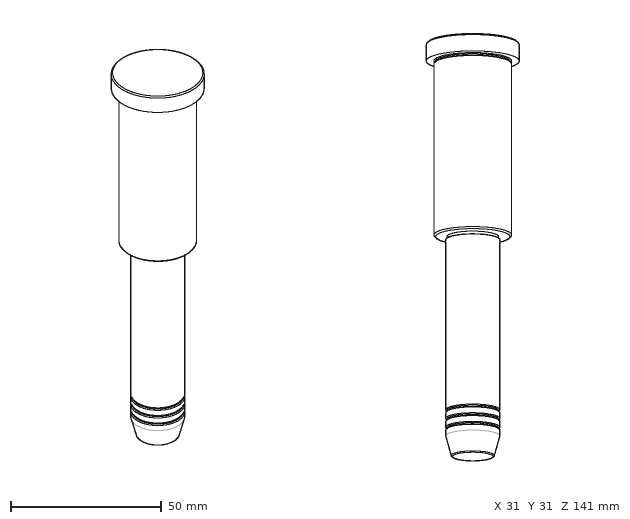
import cadquery as cq

total_length = 141.0
head_diameter = 31.0
head_height = 6.0
body_diameter = 26.0
body_bottom = 75.0
shank_diameter = 18.0

head_chamfer = 0.5
body_chamfer = 0.5
undercut_depth = 0.4
undercut_height = 1.0

groove_floor = 0.4

taper_height = 7.0
tip_diameter = 14.2
tip_chamfer = 0.35

groove_count = 3
groove_width = 1.0
groove_depth = 0.4
groove_pitch = 3.0
first_groove_bottom = 9.0

head_bottom = total_length - head_height


def cylinder(diameter, bottom, top):
    """Solid cylinder on the Z axis between two heights."""
    return cq.Workplane("XY").workplane(offset=bottom).circle(diameter / 2).extrude(top - bottom)


def ring_cut(diameter, bottom, width, depth):
    """Ring that cuts a square groove into a cylinder of the given diameter."""
    outer = cylinder(diameter, bottom, bottom + width)
    core = cylinder(diameter - 2 * depth, bottom, bottom + width)
    return outer.cut(core)


def tapered_ring_cut(diameter, bottom, width, depth):
    """Ring that cuts a sloped-wall groove into a cylinder of the given diameter."""
    radius = diameter / 2
    wall_run = (width - groove_floor) / 2
    return (
        cq.Workplane("XZ")
        .moveTo(radius, bottom)
        .lineTo(radius - depth, bottom + wall_run)
        .lineTo(radius - depth, bottom + width - wall_run)
        .lineTo(radius, bottom + width)
        .close()
        .revolve(360, (0, 0), (0, 1))
    )


def make_head():
    return cylinder(head_diameter, head_bottom, total_length).faces(">Z").edges().chamfer(head_chamfer)


def make_body():
    body = cylinder(body_diameter, body_bottom, head_bottom).faces("<Z").edges().chamfer(body_chamfer)
    undercut_bottom = head_bottom - undercut_height
    return body.cut(tapered_ring_cut(body_diameter, undercut_bottom, undercut_height, undercut_depth))


def make_tip():
    tip = (
        cq.Workplane("XY")
        .circle(tip_diameter / 2)
        .workplane(offset=taper_height)
        .circle(shank_diameter / 2)
        .loft(ruled=True)
    )
    return tip.faces("<Z").edges().chamfer(tip_chamfer)


def make_shank():
    shank = cylinder(shank_diameter, taper_height, body_bottom)
    undercut_bottom = body_bottom - undercut_height
    shank = shank.cut(ring_cut(shank_diameter, undercut_bottom, undercut_height, undercut_depth))
    for index in range(groove_count):
        groove_bottom = first_groove_bottom + index * groove_pitch
        shank = shank.cut(tapered_ring_cut(shank_diameter, groove_bottom, groove_width, groove_depth))
    return shank


result = make_head().union(make_body()).union(make_shank()).union(make_tip())